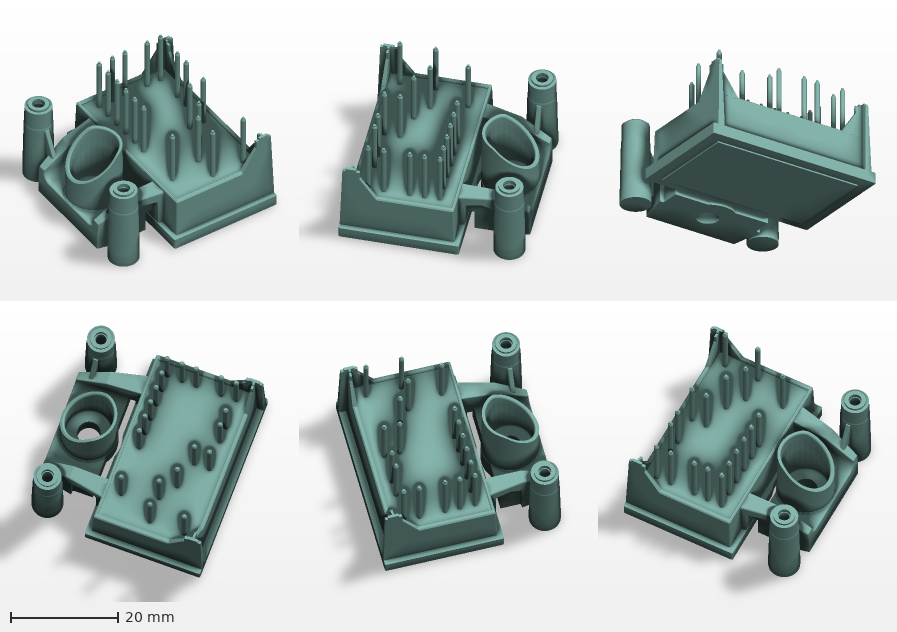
import cadquery as cq
import math

flange_length = 36.6
flange_width = 23.0
flange_bottom = 0.3
flange_top = 2.5
flange_corner_radius = 0.33
flange_front = -flange_width / 2
flange_back = flange_width / 2
depth_overall = 34.85
front_face = flange_back - depth_overall

pad_length = 31.48
pad_front = -9.4
pad_back = 9.1

housing_half_length = 17.28
housing_front = -10.45
housing_back = 10.15
housing_top = 10.32
housing_corner_radius = 0.3
rim_outer_chamfer = 0.22
rim_inner_chamfer = 0.2
recess_half_length = 16.03
recess_front = -9.6
recess_back = 9.0
recess_depth = 0.35
recess_floor = housing_top - recess_depth

pylon_top = 16.95
pylon_shoulder = 16.47
pylon_slope_top = 14.85
wall_top_half_length = 16.8
housing_draft = math.degrees(math.atan((housing_half_length - wall_top_half_length) / (pylon_top - flange_top)))

pin_diameter = 1.0
pin_tip_diameter = 0.5
pin_shoulder = 20.35
pin_cone_diameter = 0.65
pin_cone_top = 20.68
pin_tip = 20.97
pin_column = 13.95
pin_back_row = 6.77
pin_front_row = -7.0
pin_pitch = 3.0

tray_back = -12.8
tray_floor = 3.95
tray_floor_fillet = 1.75
tray_lip_fillet = 0.25
tray_corner_fillet = 0.35
tray_front_setback = 0.22
arm_outer_back = 12.7
arm_outer_front = 9.92
arm_inner_back = 8.85
arm_inner_front = 8.3
arm_top_back = 9.75
arm_bend_y = -17.15
arm_bend_top = 9.2
arm_top_front = 5.95
arm_edge_fillet = 0.33
arm_inner_fillet = 0.2
arm_root = housing_front + 0.35

opening_back = -11.4
opening_front = -16.75
opening_top = 7.7
opening_bevel_y = -14.45
opening_bevel_z = 6.4
opening_wall_x = 10.43
opening_corner_radius = 0.45
opening_inner_fillet = 0.3
arm_skirt_bottom = 4.3

cup_y = -17.42
cup_base_radius = 5.55
cup_outer_radius = 5.5
cup_rim_radius = 5.3
cup_inner_rim_radius = 4.7
cup_inner_radius = 4.4
cup_inner_fillet = 0.3
cup_rim_rounding = 0.33
cup_hole_radius = 2.2
cup_top = 15.9
cup_cut_start_y = -15.0
cup_cut_slope = 0.8
cup_cut_bend_radius = 2.55
cup_foot_fillet = 0.3
cup_clearance_radius = 6.35

boss_radius = 3.0
boss_x = 14.35
boss_y = front_face + boss_radius
boss_step = 12.5
boss_step_height = 0.3
boss_neck_base_radius = 2.78
boss_collar_radius = 2.7
boss_collar_top_radius = 2.65
boss_collar_top = 16.47
boss_spigot_radius = 2.0
boss_spigot_top = 16.95
boss_mouth_radius = 1.2
boss_mouth_depth = 0.85
boss_hole_radius = 1.02
boss_hole_depth = 7.32
rib_thickness = 0.9
rib_edge_fillet = 0.22
rib_top = 12.25
rib_foot = 7.5
rib_foot_x = 8.93

over = 1.83


def box(x0, x1, y0, y1, z0, z1):
    """Axis-aligned block between two opposite corners."""
    return cq.Workplane("XY").box(x1 - x0, y1 - y0, z1 - z0, centered=False).translate((x0, y0, z0))


def plan_prism(points, z0, z1):
    """Outline in plan, raised from z0 to z1."""
    return cq.Workplane("XY").workplane(offset=z0).polyline(points).close().extrude(z1 - z0)


def side_prism(points, x0, x1):
    """Outline of (y, z) points, swept along X from x0 to x1."""
    return cq.Workplane("YZ").workplane(offset=x0).polyline(points).close().extrude(x1 - x0)


def front_prism(points, y0, y1):
    """Outline of (x, z) points, swept along Y from y0 to y1."""
    return cq.Workplane("XZ").workplane(offset=-y1).polyline(points).close().extrude(y1 - y0)


def revolved(profile, x, y):
    """Outline of (radius, z) points turned about the vertical line through (x, y)."""
    outline = cq.Workplane("XZ").polyline(profile).close()
    return outline.revolve(360, (0, 0, 0), (0, 1, 0)).translate((x, y, 0))


def cylinder(radius, x, y, z0, z1):
    """Upright cylinder from z0 to z1."""
    return cq.Workplane("XY").workplane(offset=z0).center(x, y).circle(radius).extrude(z1 - z0)


def both_sides(body):
    """The body together with its mirror image across X = 0."""
    return body.union(body.mirror("YZ"))


def make_flange():
    plate = box(-flange_length / 2, flange_length / 2, flange_front, flange_back, flange_bottom, flange_top)
    plate = plate.edges("|Z").fillet(flange_corner_radius)
    plate = plate.cut(cylinder(cup_clearance_radius, 0, cup_y, -over, flange_top + over))
    return plate.union(box(-pad_length / 2, pad_length / 2, pad_front, pad_back, 0, flange_top))


def make_housing():
    block = (
        cq.Workplane("XY")
        .workplane(offset=flange_top)
        .center(0, (housing_back + housing_front) / 2)
        .rect(2 * housing_half_length, housing_back - housing_front)
        .extrude(housing_top - flange_top, taper=housing_draft)
    )
    block = block.edges("not(#Z or |X or |Y)").fillet(housing_corner_radius)
    return block.faces(">Z").edges().chamfer(rim_outer_chamfer)


def make_recess():
    """Shallow floor for the pins, flared at the rim."""
    recess = box(-recess_half_length, recess_half_length, recess_front, recess_back, recess_floor, housing_top)
    flare = (
        cq.Workplane("XY")
        .workplane(offset=housing_top)
        .center(0, (recess_front + recess_back) / 2)
        .rect(2 * (recess_half_length + rim_inner_chamfer), recess_back - recess_front + 2 * rim_inner_chamfer)
        .extrude(-rim_inner_chamfer, taper=45)
    )
    return recess.union(flare)


def make_pylon():
    """Tapering corner post: a wing along the side wall and a shorter one along the back wall."""
    side_outline = [
        (4.5, housing_top - rim_outer_chamfer),
        (7.8, pylon_slope_top),
        (7.8, pylon_shoulder),
        (8.45, pylon_shoulder),
        (8.45, pylon_top),
        (10.5, pylon_top),
        (10.5, pylon_shoulder),
        (11.05, pylon_shoulder),
        (flange_back, flange_top),
        (4.5, flange_top),
    ]
    side_section = [
        (-housing_half_length, flange_top),
        (-wall_top_half_length, pylon_top),
        (-16.25, pylon_top),
        (-15.9, flange_top),
    ]
    side_wing = side_prism(side_outline, -flange_length / 2, 0).intersect(
        front_prism(side_section, 0, flange_back)
    )

    back_outline = [
        (-16.47, recess_floor),
        (-16.47, pylon_top),
        (-15.7, pylon_top),
        (-15.7, pylon_shoulder),
        (-14.95, pylon_shoulder),
        (-14.95, pylon_slope_top),
        (-11.7, housing_top - rim_outer_chamfer),
        (-11.7, recess_floor),
    ]
    back_section = [(9.0, recess_floor), (9.22, pylon_top), (9.63, pylon_top), (9.92, recess_floor)]
    back_wing = front_prism(back_outline, 0, flange_back).intersect(
        side_prism(back_section, -flange_length / 2, 0)
    )
    return side_wing.union(back_wing)


def make_pin(x, y):
    profile = [
        (0, recess_floor - 0.35),
        (pin_diameter / 2, recess_floor - 0.35),
        (pin_diameter / 2, pin_shoulder),
        (pin_cone_diameter / 2, pin_cone_top),
        (pin_tip_diameter / 2, pin_cone_top),
        (pin_tip_diameter / 2, pin_tip),
        (0, pin_tip),
    ]
    return revolved(profile, x, y)


def make_tray():
    """Tray with raised side arms that run back to the housing."""
    plan = [
        (-arm_outer_back, arm_root),
        (arm_outer_back, arm_root),
        (arm_outer_front, front_face),
        (-arm_outer_front, front_face),
    ]
    side = [
        (arm_root, flange_top - 0.35),
        (arm_root, arm_top_back),
        (arm_bend_y, arm_bend_top),
        (front_face + tray_front_setback, arm_top_front),
        (front_face, flange_top),
        (front_face, 0),
        (opening_back, 0),
        (opening_back, flange_top - 0.35),
    ]
    body = plan_prism(plan, 0, arm_top_back).intersect(side_prism(side, -flange_length / 2, flange_length / 2))
    top_side_edges = cq.selectors.BoxSelector(
        (-flange_length, front_face + 0.35, arm_top_front), (flange_length, arm_root - 0.35, arm_top_back + 0.35)
    )
    body = body.edges(top_side_edges).edges("not |X").fillet(arm_edge_fillet)

    channel_plan = [
        (-arm_inner_back, arm_root),
        (arm_inner_back, arm_root),
        (arm_inner_front, front_face),
        (-arm_inner_front, front_face),
    ]
    channel = plan_prism(channel_plan, tray_floor, arm_top_back + over)
    channel = channel.edges("<Z").edges("not |X").fillet(tray_floor_fillet)
    gap = plan_prism(channel_plan, -over, arm_top_back + over).intersect(
        box(-flange_length, flange_length, tray_back, flange_back, -over, arm_top_back + over)
    )
    body = body.cut(channel).cut(gap)

    corners = cq.selectors.BoxSelector(
        (-arm_inner_back, tray_back - 0.05, 0), (arm_inner_back, tray_back + 0.05, tray_floor)
    )
    body = body.edges("|Z").edges(corners).fillet(tray_corner_fillet)
    lip = cq.selectors.BoxSelector(
        (-arm_inner_front, front_face, tray_floor - 0.05),
        (arm_inner_front, front_face + tray_front_setback, tray_floor + tray_floor_fillet),
    )
    body = body.edges(lip).fillet(tray_lip_fillet)
    inner_edges = cq.selectors.BoxSelector(
        (-arm_inner_back - 0.05, front_face + 0.35, arm_top_front), (arm_inner_back + 0.05, arm_root - 0.35, arm_top_back)
    )
    return body.edges(inner_edges).edges("not |X").fillet(arm_inner_fillet)


def make_arm_opening():
    """Pocket in the outer side of an arm, leaving a skirt wall on the inside."""
    outline = [
        (opening_back, -over),
        (opening_back, opening_top),
        (opening_bevel_y, opening_top),
        (opening_front, opening_bevel_z),
        (opening_front, -over),
    ]
    pocket = side_prism(outline, -flange_length / 2, -opening_wall_x)
    pocket = pocket.edges("|X").edges("not <Z").fillet(opening_corner_radius)
    pocket = pocket.faces(">X").edges("not <Z").fillet(opening_inner_fillet)
    under_skirt = box(-opening_wall_x - 0.35, -arm_inner_front, tray_back, opening_back, -over, arm_skirt_bottom)
    return pocket.union(under_skirt)


def make_cup():
    """Drafted cup with a slanted mouth, a rounded rim and a small foot on the tray floor."""
    outer = revolved(
        [
            (0, 0),
            (cup_base_radius, 0),
            (cup_base_radius, arm_skirt_bottom),
            (cup_outer_radius, arm_skirt_bottom),
            (cup_rim_radius, cup_top),
            (0, cup_top),
        ],
        0,
        cup_y,
    )
    foot = revolved(
        [
            (0, tray_floor),
            (cup_base_radius + cup_foot_fillet, tray_floor),
            (cup_base_radius, tray_floor + cup_foot_fillet),
            (0, tray_floor + cup_foot_fillet),
        ],
        0,
        cup_y,
    ).intersect(box(-flange_length, flange_length, front_face, tray_back, 0, cup_top))
    slope_end_y = front_face - over
    slope_end_z = cup_top - cup_cut_slope * (cup_cut_start_y - slope_end_y)
    side = [
        (flange_back, 0),
        (flange_back, cup_top),
        (cup_cut_start_y, cup_top),
        (slope_end_y, slope_end_z),
        (slope_end_y, 0),
    ]
    envelope = side_prism(side, -flange_length / 2, flange_length / 2)
    bend = cq.selectors.NearestToPointSelector((0, cup_cut_start_y, cup_top))
    envelope = envelope.edges("|X").edges(bend).fillet(cup_cut_bend_radius)
    bowl = revolved(
        [(0, tray_floor), (cup_inner_radius, tray_floor), (cup_inner_rim_radius, cup_top), (0, cup_top)],
        0,
        cup_y,
    )
    bowl = bowl.faces("<Z").edges().fillet(cup_inner_fillet)
    cup = outer.intersect(envelope).cut(bowl)
    inner_rim = cq.selectors.BoxSelector(
        (-cup_inner_rim_radius, cup_y - cup_inner_rim_radius, tray_floor + 2 * cup_inner_fillet),
        (cup_inner_rim_radius, cup_y + cup_inner_rim_radius, cup_top + 0.35),
        boundingbox=True,
    )
    cup = cup.edges(inner_rim).fillet(cup_rim_rounding)
    return cup.union(foot.cut(bowl))


def make_boss():
    """Stepped screw boss with its rib to the neighbouring arm."""
    post = revolved(
        [
            (0, 0),
            (boss_radius, 0),
            (boss_radius, flange_top),
            (boss_neck_base_radius, boss_step),
            (boss_collar_radius, boss_step + boss_step_height),
            (boss_collar_top_radius, boss_collar_top),
            (boss_spigot_radius, boss_collar_top),
            (boss_spigot_radius, boss_spigot_top),
            (0, boss_spigot_top),
        ],
        -boss_x,
        boss_y,
    )
    rib_start_x = boss_radius - boss_x
    rib = front_prism(
        [
            (-boss_x, flange_top),
            (-boss_x, rib_top),
            (rib_start_x, rib_top),
            (-rib_foot_x, rib_foot),
            (-rib_foot_x, flange_top),
        ],
        boss_y - rib_thickness / 2,
        boss_y + rib_thickness / 2,
    )
    slope_middle = ((rib_start_x - rib_foot_x) / 2, boss_y, (rib_top + rib_foot) / 2)
    rib = rib.faces(cq.selectors.NearestToPointSelector(slope_middle)).edges("not |Y").fillet(rib_edge_fillet)
    hole = cylinder(boss_hole_radius, -boss_x, boss_y, boss_spigot_top - boss_hole_depth, boss_spigot_top)
    mouth = cylinder(boss_mouth_radius, -boss_x, boss_y, boss_spigot_top - boss_mouth_depth, boss_spigot_top)
    return post.union(rib).cut(hole).cut(mouth)


back_pins = [(x, pin_back_row) for x in (-pin_column, -8.25, -5.27, 0.45, pin_column)]
front_pins = [(-pin_column + i * pin_pitch, pin_front_row) for i in range(6)] + [(10.75, pin_front_row)]
left_pins = [(-pin_column, y) for y in (pin_back_row - pin_pitch, -1.2, -4.03)]
inner_pins = [(0.45, pin_back_row - pin_pitch), (5.7, 2.3), (9.05, -0.07), (pin_column, -0.07)]

result = make_flange().union(make_housing()).cut(make_recess())
result = result.union(both_sides(make_pylon()))
result = result.union(make_tray().cut(both_sides(make_arm_opening())))
result = result.union(make_cup()).cut(cylinder(cup_hole_radius, 0, cup_y, -over, cup_top))
result = result.union(both_sides(make_boss()))
for pin_x, pin_y in back_pins + front_pins + left_pins + inner_pins:
    result = result.union(make_pin(pin_x, pin_y))